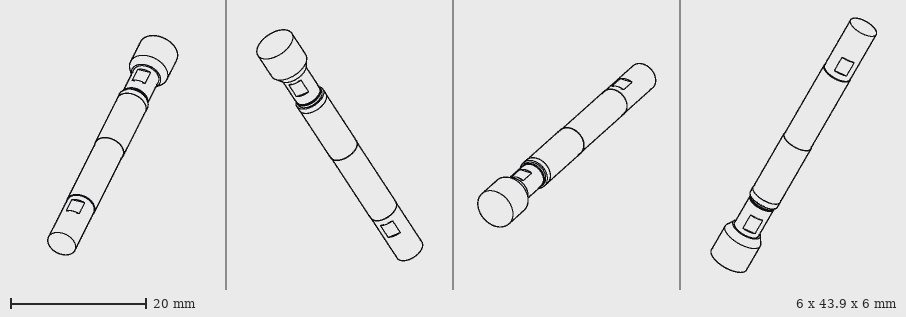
import cadquery as cq

TOTAL_LENGTH = 43.9
HEAD_END = TOTAL_LENGTH / 2

HEAD_DIA = 6.0
CONE_END_DIA = 4.6
NECK_DIA = 4.1
GROOVE_DIA = 3.9
SLEEVE_DIA = 4.6
BAND_DIA = 4.65
SHAFT_DIA = 4.48
SHAFT_CHAMFER_DIA = 4.3
TAIL_DIA = 4.4

HEAD_LENGTH = 4.5
CONE_LENGTH = 1.25
NECK_LENGTH = 5.0
GROOVE_LENGTH = 0.25
COLLAR_LENGTH = 0.4
BAND_LENGTH = 0.9
SLEEVE_LENGTH = 10.05
SHAFT_LENGTH = 12.9
SHAFT_CHAMFER_LENGTH = 0.1
TAIL_LENGTH = TOTAL_LENGTH - (
    HEAD_LENGTH + CONE_LENGTH + NECK_LENGTH + GROOVE_LENGTH
    + COLLAR_LENGTH + BAND_LENGTH + SLEEVE_LENGTH + SHAFT_LENGTH + SHAFT_CHAMFER_LENGTH
)

FLAT_WIDTH = 2.0
FLAT_LENGTH = 2.5
NECK_FLAT_OFFSET = 0.8
TAIL_FLAT_OFFSET = 1.0

SECTIONS = [
    (HEAD_LENGTH, HEAD_DIA, HEAD_DIA),
    (CONE_LENGTH, HEAD_DIA, CONE_END_DIA),
    (NECK_LENGTH, NECK_DIA, NECK_DIA),
    (GROOVE_LENGTH / 2, NECK_DIA, GROOVE_DIA),
    (GROOVE_LENGTH / 2, GROOVE_DIA, NECK_DIA),
    (COLLAR_LENGTH, NECK_DIA, NECK_DIA),
    (BAND_LENGTH, BAND_DIA, BAND_DIA),
    (SLEEVE_LENGTH, SLEEVE_DIA, SLEEVE_DIA),
    (SHAFT_LENGTH, SHAFT_DIA, SHAFT_DIA),
    (SHAFT_CHAMFER_LENGTH, SHAFT_DIA, SHAFT_CHAMFER_DIA),
    (TAIL_LENGTH, TAIL_DIA, TAIL_DIA),
]


def turned_body():
    """Revolve the half profile of all sections about the Y axis."""
    position = HEAD_END
    outline = [(0, position)]
    for length, head_side_dia, tail_side_dia in SECTIONS:
        section_start = (head_side_dia / 2, position)
        if section_start != outline[-1]:
            outline.append(section_start)
        position -= length
        outline.append((tail_side_dia / 2, position))
    outline.append((0, position))
    return cq.Workplane("XY").polyline(outline).close().revolve(360, (0, 0, 0), (0, 1, 0))


def flat_pair(diameter, start):
    """Cutters for two opposite flats whose chord on the cylinder is FLAT_WIDTH."""
    radius = diameter / 2
    flat_height = (radius**2 - (FLAT_WIDTH / 2) ** 2) ** 0.5
    middle = start - FLAT_LENGTH / 2
    upper = (
        cq.Workplane("XY", origin=(0, middle, flat_height))
        .rect(diameter, FLAT_LENGTH)
        .extrude(radius)
    )
    return upper.union(upper.mirror("XY"))


neck_start = HEAD_END - HEAD_LENGTH - CONE_LENGTH
tail_start = -HEAD_END + TAIL_LENGTH

result = (
    turned_body()
    .cut(flat_pair(NECK_DIA, neck_start - NECK_FLAT_OFFSET))
    .cut(flat_pair(TAIL_DIA, tail_start - TAIL_FLAT_OFFSET))
)